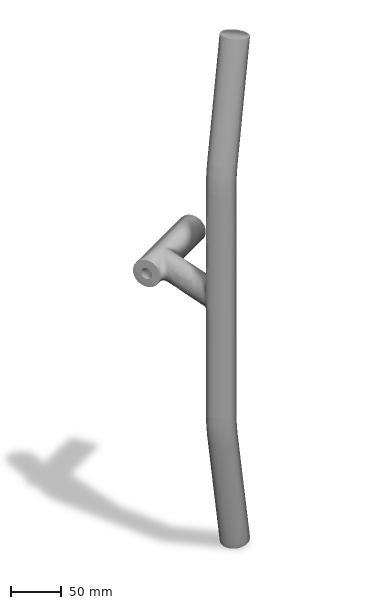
import cadquery as cq
import math

tube_diameter = 30.0
arm_diameter = 29.5
hole_diameter = 12.0
total_height = 576.0
spindle_length = 100.0
arm_reach = 89.5
arm_root_setback = 30.0
straight_half = 125.5
bend_radius = 140.5
bend_angle = 11.8
weld_radius = 5.0

tube_radius = tube_diameter / 2
spindle_front = tube_radius
angle = math.radians(bend_angle)
bend_end_y = bend_radius * (1 - math.cos(angle))
bend_end_z = straight_half + bend_radius * math.sin(angle)
bend_mid_y = bend_radius * (1 - math.cos(angle / 2))
bend_mid_z = straight_half + bend_radius * math.sin(angle / 2)
tip_z = total_height / 2 - tube_radius * math.sin(angle)
tip_y = bend_end_y + (tip_z - bend_end_z) * math.tan(angle)
arm_drop = spindle_front + arm_root_setback
arm_length = math.hypot(arm_reach, arm_drop)


def make_handlebar():
    """Solid round bar whose two ends bend towards +Y."""
    path = (
        cq.Workplane("YZ")
        .moveTo(tip_y, -tip_z)
        .lineTo(bend_end_y, -bend_end_z)
        .threePointArc((bend_mid_y, -bend_mid_z), (0, -straight_half))
        .lineTo(0, straight_half)
        .threePointArc((bend_mid_y, bend_mid_z), (bend_end_y, bend_end_z))
        .lineTo(tip_y, tip_z)
    )
    start_plane = cq.Plane(
        origin=(0, tip_y, -tip_z),
        xDir=(1, 0, 0),
        normal=(0, -math.sin(angle), math.cos(angle)),
    )
    return cq.Workplane(start_plane).circle(tube_radius).sweep(path)


def spindle_cylinder(diameter):
    """Cylinder along Y, as long as the spindle and on its axis."""
    base = cq.Vector(-arm_reach, spindle_front, 0)
    return cq.Solid.makeCylinder(diameter / 2, spindle_length, base, cq.Vector(0, 1, 0))


def make_arm():
    """Slanted arm whose upright YZ section is a circle, so it is oval square to its axis."""
    arm_plane = cq.Plane(
        origin=(-arm_reach, spindle_front + arm_root_setback, 0),
        xDir=(0, 0, 1),
        normal=(arm_reach, -arm_drop, 0),
    )
    half_thickness = arm_diameter / 2 * arm_reach / arm_length
    return cq.Workplane(arm_plane).ellipse(arm_diameter / 2, half_thickness).extrude(arm_length)


body = make_handlebar().union(make_arm())
body = body.union(cq.Workplane(spindle_cylinder(tube_diameter)))

body = body.edges("%BSPLINE").fillet(weld_radius)

result = body.cut(cq.Workplane(spindle_cylinder(hole_diameter)))